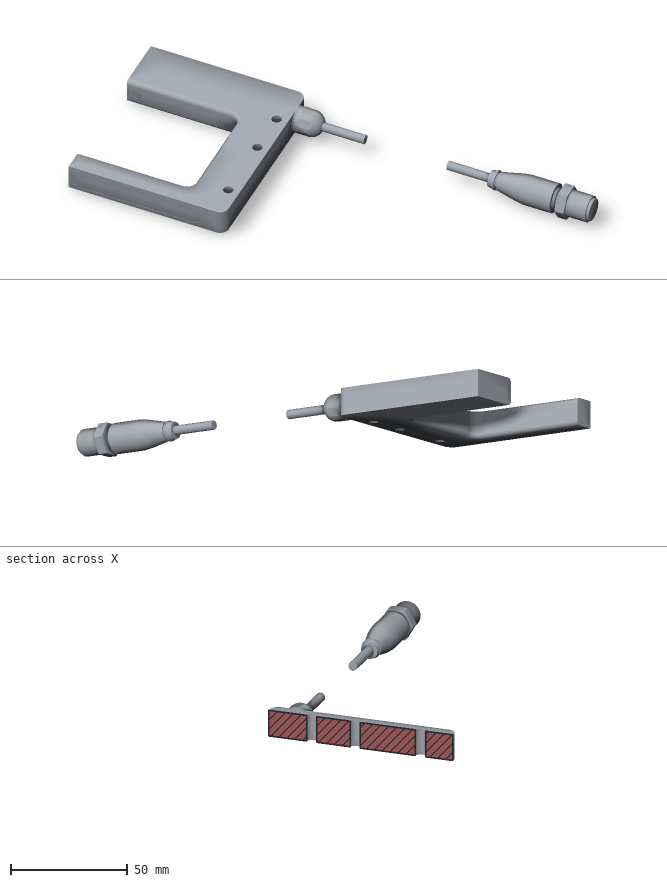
import cadquery as cq
import math

OVERALL_LENGTH = 214.5

FORK_LENGTH = 74.0
FORK_WIDTH = 85.0
FORK_THICKNESS = 12.0
FORK_CORNER_RADIUS = 4.0
CABLE_TO_FORK_SIDE = 10.0
SLOT_DEPTH = 53.8
WIDE_ARM_WIDTH = 24.9
NARROW_ARM_WIDTH = 10.0
SLOT_CORNER_RADIUS = 4.3
SLOT_EDGE_FILLET = 2.0

FORK_TOP_Y = CABLE_TO_FORK_SIDE
FORK_BOTTOM_Y = FORK_TOP_Y - FORK_WIDTH
SLOT_TOP_Y = FORK_TOP_Y - WIDE_ARM_WIDTH
SLOT_BOTTOM_Y = FORK_BOTTOM_Y + NARROW_ARM_WIDTH

HOLE_DIAMETER = 4.5
HOLE_TO_BACK = 5.1
HOLE_SETBACKS = (20.0, 40.0, 70.0)

RECESS_DEPTH = 0.2
LABEL_HEIGHT = 8.5
LABEL_LENGTH = 61.3
LABEL_START = 1.3
LENS_DIAMETER = 4.3
LENS_X = 5.0

CABLE_DIAMETER = 4.0
STUB_LENGTH = 32.4
GLAND_FLANGE_DIAMETER = 12.2
GLAND_FLANGE_LENGTH = 0.6
GLAND_DIAMETER = 12.0
GLAND_BARREL_LENGTH = 7.0
GLAND_LENGTH = 12.2
GLAND_NOSE_ARC_RADIUS = 5.5
GLAND_FLAT_COUNT = 6
GLAND_ACROSS_FLATS = 11.4
GLAND_FLAT_START = 3.6
GLAND_FLAT_RUN_IN = 1.3

PLUG_CABLE_START = 145.6
COLLAR_START = 165.8
COLLAR_RIM_START = 168.4
COLLAR_END = 169.0
CONE_START = 170.0
CONE_END = 179.5
GRIP_START = 184.7
GRIP_END = 196.7
STEP_END = 198.0
NUT_START = 199.3
NUT_END = 203.8
THREAD_END = 213.2

COLLAR_FRONT_DIAMETER = 7.5
COLLAR_BACK_DIAMETER = 8.5
COLLAR_RIM_DIAMETER = 9.0
GROOVE_DIAMETER = 7.5
CONE_START_DIAMETER = 8.4
CONE_END_DIAMETER = 12.5
GRIP_DIAMETER = 13.5
STEP_DIAMETER = 10.0
NECK_DIAMETER = 9.0
THREAD_DIAMETER = 12.0
NUT_SIDES = 6
NUT_ACROSS_FLATS = 13.5
NUT_CHAMFER_ANGLE = math.radians(15)


def cylinder(start, end, diameter):
    """Cylinder on the cable axis between two x stations."""
    return cq.Workplane("YZ", origin=(start, 0, 0)).circle(diameter / 2).extrude(end - start)


def revolve_about_cable(profile):
    """Closed XY profile turned about the cable axis."""
    return profile.close().revolve(360, (0, 0), (1, 0))


def fork_plate():
    """U-shaped plate with rounded back corners and filleted slot rims."""
    plate = (
        cq.Workplane("XY", origin=(0, FORK_BOTTOM_Y, -FORK_THICKNESS / 2))
        .box(FORK_LENGTH, FORK_WIDTH, FORK_THICKNESS, centered=False)
        .edges("|Z and >X")
        .fillet(FORK_CORNER_RADIUS)
    )
    slot = (
        cq.Workplane("XY", origin=(0, SLOT_BOTTOM_Y, -FORK_THICKNESS / 2))
        .box(SLOT_DEPTH, SLOT_TOP_Y - SLOT_BOTTOM_Y, FORK_THICKNESS, centered=False)
        .edges("|Z and >X")
        .fillet(SLOT_CORNER_RADIUS)
    )
    plate = plate.cut(slot)
    rim_y = (SLOT_TOP_Y + SLOT_BOTTOM_Y) / 2
    for z in (-FORK_THICKNESS / 2, FORK_THICKNESS / 2):
        rim = plate.edges(cq.selectors.NearestToPointSelector((SLOT_DEPTH, rim_y, z)))
        plate = rim.fillet(SLOT_EDGE_FILLET)
    return plate


def mounting_holes():
    """Row of through holes near the back edge."""
    hole_x = FORK_LENGTH - HOLE_TO_BACK
    centres = [(hole_x, FORK_TOP_Y - setback) for setback in HOLE_SETBACKS]
    sketch = cq.Workplane("XY").pushPoints(centres).circle(HOLE_DIAMETER / 2)
    return sketch.extrude(FORK_THICKNESS, both=True)


def label_recess():
    """Stadium-shaped recess in the outer side of the narrow arm."""
    centre_x = LABEL_START + LABEL_LENGTH / 2
    sketch = cq.Workplane("XZ", origin=(centre_x, FORK_BOTTOM_Y, 0)).slot2D(LABEL_LENGTH, LABEL_HEIGHT)
    return sketch.extrude(-RECESS_DEPTH)


def lens_recess():
    """Round recess in the slot side of the wide arm."""
    sketch = cq.Workplane("XZ", origin=(LENS_X, SLOT_TOP_Y, 0)).circle(LENS_DIAMETER / 2)
    return sketch.extrude(-RECESS_DEPTH)


def gland_flat_cutter():
    """Cutter for the upper wrench flat, with a sloped run-in behind the flange."""
    flat_z = GLAND_ACROSS_FLATS / 2
    rim_z = GLAND_DIAMETER / 2
    flat_start = FORK_LENGTH + GLAND_FLAT_START
    flat_end = FORK_LENGTH + GLAND_LENGTH
    return (
        cq.Workplane("XZ")
        .moveTo(flat_start - GLAND_FLAT_RUN_IN, rim_z)
        .lineTo(flat_start, flat_z)
        .lineTo(flat_end, flat_z)
        .lineTo(flat_end, rim_z)
        .close()
        .extrude(GLAND_DIAMETER / 2, both=True)
    )


def gland_body():
    """Turned barrel whose nose is rounded by an arc tangent to the barrel."""
    barrel_end = FORK_LENGTH + GLAND_BARREL_LENGTH
    gland_end = FORK_LENGTH + GLAND_LENGTH
    barrel_radius = GLAND_DIAMETER / 2
    nose_length = GLAND_LENGTH - GLAND_BARREL_LENGTH
    nose_drop = GLAND_NOSE_ARC_RADIUS - math.sqrt(GLAND_NOSE_ARC_RADIUS**2 - nose_length**2)
    profile = (
        cq.Workplane("XY")
        .moveTo(FORK_LENGTH, 0)
        .lineTo(FORK_LENGTH, barrel_radius)
        .lineTo(barrel_end, barrel_radius)
        .tangentArcPoint((gland_end, barrel_radius - nose_drop), relative=False)
        .lineTo(gland_end, 0)
    )
    return revolve_about_cable(profile)


def cable_gland():
    """Flanged gland with six wrench flats."""
    gland = gland_body()
    cutter = gland_flat_cutter()
    for index in range(GLAND_FLAT_COUNT):
        angle = index * 360 / GLAND_FLAT_COUNT
        gland = gland.cut(cutter.rotate((0, 0, 0), (1, 0, 0), angle))
    flange = cylinder(FORK_LENGTH, FORK_LENGTH + GLAND_FLANGE_LENGTH, GLAND_FLANGE_DIAMETER)
    return gland.union(flange)


def make_fork_sensor():
    """Fork housing with its gland and cable stub as one solid."""
    plate = fork_plate().cut(mounting_holes()).cut(label_recess()).cut(lens_recess())
    stub = cylinder(FORK_LENGTH, FORK_LENGTH + STUB_LENGTH, CABLE_DIAMETER)
    return plate.union(cable_gland()).union(stub)


def plug_body():
    """Turned connector body from the cable end to the neck behind the nut."""
    cone_slope = (CONE_END_DIAMETER - CONE_START_DIAMETER) / 2 / (CONE_END - CONE_START)
    profile = (
        cq.Workplane("XY")
        .moveTo(PLUG_CABLE_START, 0)
        .lineTo(PLUG_CABLE_START, CABLE_DIAMETER / 2)
        .lineTo(COLLAR_START, CABLE_DIAMETER / 2)
        .lineTo(COLLAR_START, COLLAR_FRONT_DIAMETER / 2)
        .lineTo(COLLAR_RIM_START, COLLAR_BACK_DIAMETER / 2)
        .lineTo(COLLAR_RIM_START, COLLAR_RIM_DIAMETER / 2)
        .lineTo(COLLAR_END, COLLAR_RIM_DIAMETER / 2)
        .lineTo(COLLAR_END, GROOVE_DIAMETER / 2)
        .lineTo(CONE_START, GROOVE_DIAMETER / 2)
        .lineTo(CONE_START, CONE_START_DIAMETER / 2)
        .lineTo(CONE_END, CONE_END_DIAMETER / 2)
        .spline(
            [(GRIP_START, GRIP_DIAMETER / 2)],
            tangents=[(1, cone_slope), (1, 0)],
            includeCurrent=True,
        )
        .lineTo(GRIP_END, GRIP_DIAMETER / 2)
        .lineTo(GRIP_END, STEP_DIAMETER / 2)
        .lineTo(STEP_END, STEP_DIAMETER / 2)
        .lineTo(STEP_END, NECK_DIAMETER / 2)
        .lineTo(NUT_START, NECK_DIAMETER / 2)
        .lineTo(NUT_START, 0)
    )
    return revolve_about_cable(profile)


def coupling_nut():
    """Hexagon with two flats facing up and down, its corners chamfered at both ends."""
    flat_radius = NUT_ACROSS_FLATS / 2
    corner_radius = flat_radius / math.cos(math.pi / NUT_SIDES)
    chamfer_length = (corner_radius - flat_radius) * math.tan(NUT_CHAMFER_ANGLE)
    hexagon = cq.Workplane("YZ", origin=(NUT_START, 0, 0)).polygon(NUT_SIDES, 2 * corner_radius)
    chamfer_envelope = (
        cq.Workplane("XY")
        .moveTo(NUT_START, 0)
        .lineTo(NUT_START, flat_radius)
        .lineTo(NUT_START + chamfer_length, corner_radius)
        .lineTo(NUT_END - chamfer_length, corner_radius)
        .lineTo(NUT_END, flat_radius)
        .lineTo(NUT_END, 0)
    )
    return hexagon.extrude(NUT_END - NUT_START).intersect(revolve_about_cable(chamfer_envelope))


def make_connector():
    """Plug with its cable end, coupling nut and threaded tip as one solid."""
    thread = cylinder(NUT_END, THREAD_END, THREAD_DIAMETER)
    tip = cylinder(THREAD_END, OVERALL_LENGTH, STEP_DIAMETER)
    return plug_body().union(coupling_nut()).union(thread).union(tip)


fork_sensor = make_fork_sensor()
connector = make_connector()
result = cq.Compound.makeCompound([fork_sensor.val(), connector.val()])